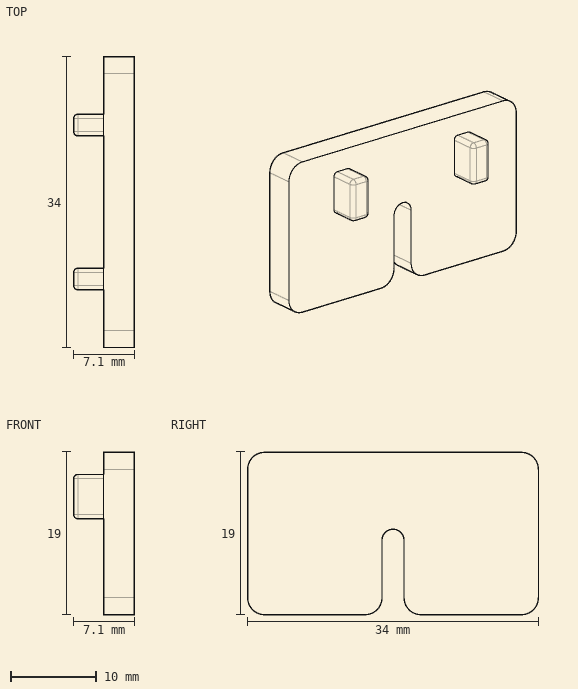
import cadquery as cq

plate_length = 34.0
plate_height = 19.0
plate_thickness = 3.6
corner_radius = 2.0

slot_width = 2.55
slot_depth = 10.0

peg_width = 2.55
peg_height = 5.2
peg_length = 3.5
peg_pitch = 18.0
peg_top_gap = 2.6
peg_fillet = 0.5


def make_plate():
    """Plate with its -X face on X = 0 and its bottom edge on Z = 0."""
    half_length = plate_length / 2
    half_slot = slot_width / 2
    slot_arc_z = slot_depth - half_slot
    outline = (
        cq.Workplane("YZ")
        .moveTo(-half_length, 0)
        .lineTo(-half_slot, 0)
        .lineTo(-half_slot, slot_arc_z)
        .threePointArc((0, slot_depth), (half_slot, slot_arc_z))
        .lineTo(half_slot, 0)
        .lineTo(half_length, 0)
        .lineTo(half_length, plate_height)
        .lineTo(-half_length, plate_height)
        .close()
    )
    plate = outline.extrude(plate_thickness)

    bottom_corners = plate.faces("<Z").edges("|X")
    top_corners = plate.faces(">Z").edges("|X")
    return bottom_corners.add(top_corners).fillet(corner_radius)


def make_peg(y_center):
    """Peg standing out from the plate towards -X, rounded everywhere but at its root."""
    z_center = plate_height - peg_top_gap - peg_height / 2
    return (
        cq.Workplane("YZ")
        .center(y_center, z_center)
        .rect(peg_width, peg_height)
        .extrude(-peg_length)
        .edges("|X or <X")
        .fillet(peg_fillet)
    )


result = make_plate()
for side in (-1, 1):
    result = result.union(make_peg(side * peg_pitch / 2))